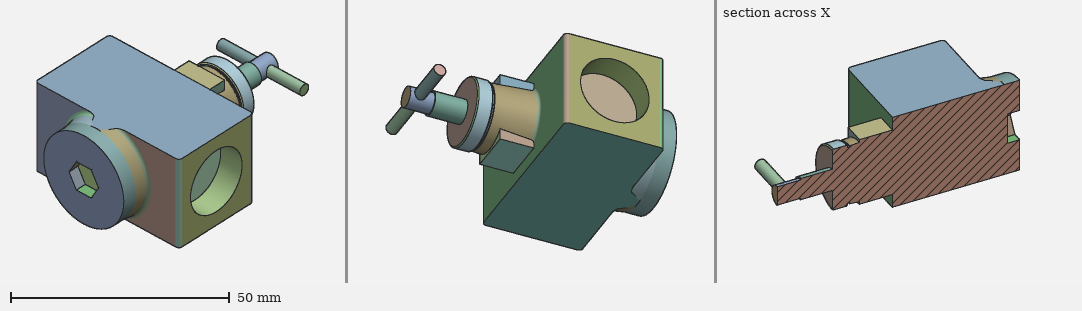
import cadquery as cq
import math

body_length = 45.0
body_side = 25.0
body_edge_radius = 1.0
half_side = body_side / 2

port_diameter = 17.3
port_depth = 6.7

plug_radius = half_side
plug_straight_length = 4.0
plug_root_radius = 0.9
plug_length = 7.8
plug_taper_length = plug_length - plug_straight_length - plug_root_radius
plug_taper_radius = 12.95
plug_foot_radius = plug_taper_radius + plug_root_radius
hex_across_flats = 8.0
hex_depth = 3.0

neck_root_fillet = 0.7
neck_base_radius = 8.85
neck_foot_radius = neck_base_radius + neck_root_fillet
neck_tip_radius = 8.1
neck_length = 11.0
groove_radius = 7.8
groove_width = 0.5
wrench_pad_width = 11.1
wrench_pad_length = 8.5
wrench_pad_height = 18.0

collar_radius = 8.5
collar_width = 4.0
collar_chamfer = 0.3

stem_radius = 3.0
stem_length = 8.1
stem_tip_radius = 2.6
stem_tip_length = 6.1
handle_radius = 1.5
handle_length = 26.0
handle_from_tip = 2.5

root_sag = 1 - math.sqrt(0.5)

front_face = -half_side
back_face = half_side
plug_end = front_face - plug_length
flare_start = plug_end + plug_straight_length
collar_start = back_face + neck_length + groove_width
collar_end = collar_start + collar_width
stem_step = collar_end + stem_length
stem_end = stem_step + stem_tip_length


def make_body():
    """Block with rounded upright edges and a blind port in each end."""
    body = cq.Workplane("XY").box(body_length, body_side, body_side)
    body = body.edges("|Z").fillet(body_edge_radius)
    for face in (">X", "<X"):
        body = body.faces(face).workplane(centerOption="CenterOfBoundBox").hole(port_diameter, port_depth)
    return body


def make_plug_flare():
    """Flare joining the plug to the block, trimmed flush with its top and bottom.

    The cone runs on, narrowing, inside the straight head of the plug.
    """
    taper_end = front_face - plug_root_radius
    cone_slope = (plug_taper_radius - plug_radius) / plug_taper_length
    cone_end_radius = plug_radius - cone_slope * plug_straight_length
    root_middle = (
        plug_taper_radius + plug_root_radius * root_sag,
        front_face - plug_root_radius * root_sag,
    )
    flare = (
        cq.Workplane("XY")
        .moveTo(0, plug_end)
        .lineTo(cone_end_radius, plug_end)
        .lineTo(plug_taper_radius, taper_end)
        .threePointArc(root_middle, (plug_foot_radius, front_face))
        .lineTo(0, front_face)
        .close()
        .revolve(360, (0, 0, 0), (0, 1, 0))
    )
    trim = cq.Workplane("XY").box(body_length, 2 * (half_side + plug_length), body_side)
    return flare.intersect(trim)


def make_plug_head():
    """Straight round end of the plug."""
    return (
        cq.Workplane("XZ", origin=(0, flare_start, 0))
        .circle(plug_radius)
        .extrude(plug_straight_length)
    )


def make_hex_socket():
    """Hexagonal recess in the plug, with flats facing up and down."""
    across_corners = hex_across_flats / math.cos(math.pi / 6)
    return (
        cq.Workplane("XZ", origin=(0, plug_end, 0))
        .polygon(6, across_corners)
        .extrude(-hex_depth)
    )


def make_spindle():
    """Turned neck, groove, collar and stepped stem, trimmed flush with the wrench pads."""
    root_end = back_face + neck_root_fillet
    neck_end = back_face + neck_length
    root_middle = (
        neck_base_radius + neck_root_fillet * root_sag,
        back_face + neck_root_fillet * root_sag,
    )
    spindle = (
        cq.Workplane("XY")
        .moveTo(0, back_face)
        .lineTo(neck_foot_radius, back_face)
        .threePointArc(root_middle, (neck_base_radius, root_end))
        .lineTo(neck_tip_radius, neck_end)
        .lineTo(groove_radius, neck_end)
        .lineTo(groove_radius, collar_start)
        .lineTo(collar_radius - collar_chamfer, collar_start)
        .lineTo(collar_radius, collar_start + collar_chamfer)
        .lineTo(collar_radius, collar_end - collar_chamfer)
        .lineTo(collar_radius - collar_chamfer, collar_end)
        .lineTo(stem_radius, collar_end)
        .lineTo(stem_radius, stem_step)
        .lineTo(stem_tip_radius, stem_step)
        .lineTo(stem_tip_radius, stem_end)
        .lineTo(0, stem_end)
        .close()
        .revolve(360, (0, 0, 0), (0, 1, 0))
    )
    trim = cq.Workplane("XY").box(body_length, 2 * stem_end, wrench_pad_height)
    return spindle.intersect(trim)


def make_wrench_pads():
    """Block through the neck that leaves a flat pad above and below it."""
    return (
        cq.Workplane("XY")
        .box(wrench_pad_width, wrench_pad_length, wrench_pad_height)
        .translate((0, back_face + wrench_pad_length / 2, 0))
    )


def make_handle():
    """Round cross bar through the tip of the stem."""
    return (
        cq.Workplane("YZ", origin=(-handle_length / 2, stem_end - handle_from_tip, 0))
        .circle(handle_radius)
        .extrude(handle_length)
    )


result = (
    make_body()
    .union(make_plug_flare())
    .union(make_plug_head())
    .cut(make_hex_socket())
    .union(make_spindle())
    .union(make_wrench_pads())
    .union(make_handle())
)